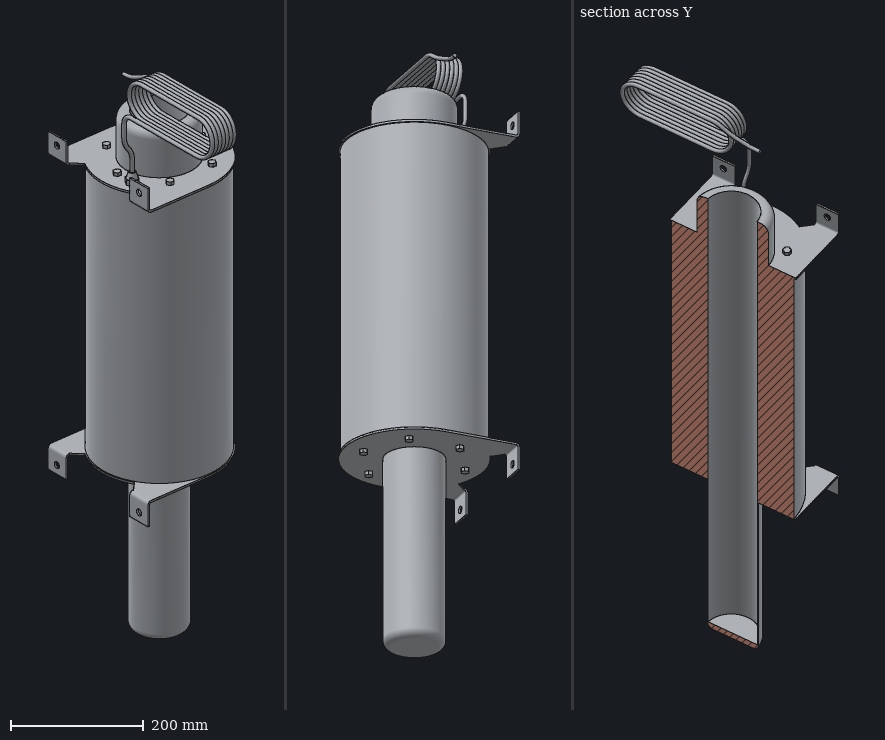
import cadquery as cq
import math

shell_diameter = 224.0
shell_bottom = 313.0
shell_top = 814.0
neck_diameter = 131.0
neck_top = 898.0
neck_fillet = 15.0
tube_diameter = 95.0
tube_fillet = 12.0
bore_diameter = 89.0
bore_bottom = tube_fillet

plate_thickness = 3.5
plate_radius = 114.0
tab_front = -123.0
tab_width = 42.0
tab_height = 44.0
bend_radius = 7.0
tab_hole_diameter = 11.0
tab_hole_inset = 20.0
tab_hole_height = 27.0

bolt_count = 6
bolt_circle_radius = 84.0
bolt_corner_diameter = 13.0
bolt_head_height = 6.0

gland_x = 34.0
gland_y = -84.0
gland_diameter = 19.0
gland_nut_corner_diameter = gland_diameter / math.cos(math.radians(30))
gland_tip_diameter = 11.0
gland_nut_height = 9.0
gland_height = 20.0

cable_diameter = 7.0
coil_top = 1013
coil_right = 238.0
coil_left_center = 72.0
coil_radius = 32.0
coil_start_y = -100.0
coil_pitch = 7.3
coil_half_turns = 13
coil_right_center = coil_right - cable_diameter / 2 - coil_radius
coil_center_z = coil_top - cable_diameter / 2 - coil_radius
coil_bottom = coil_center_z - coil_radius

stub_length = 20.0
s_bend_height = 45.0
lead_bend_radius = 17.0
tail_offsets = [(-25.0, -2.0, -10.0), (-53.0, -6.0, -23.0), (-83.0, -9.0, -29.0)]

HEXAGON_SIDES = 6
UP = cq.Vector(0, 0, 1)
LEFT = cq.Vector(-1, 0, 0)

plate_top = shell_top + plate_thickness


def cylinder(diameter, bottom, top):
    return cq.Workplane("XY").workplane(offset=bottom).circle(diameter / 2).extrude(top - bottom)


def flat_plate(leg_end):
    """Disc with two legs running forward, their inner corners cut at 45 degrees."""
    tab_inner = plate_radius - tab_width
    legs = (
        cq.Workplane("XY")
        .polyline([
            (-plate_radius, 0),
            (-plate_radius, leg_end),
            (-tab_inner, leg_end),
            (0, leg_end + tab_inner),
            (tab_inner, leg_end),
            (plate_radius, leg_end),
            (plate_radius, 0),
        ])
        .close()
        .extrude(plate_thickness)
    )
    return cylinder(2 * plate_radius, 0, plate_thickness).union(legs)


def bent_tab(start_x, hole_x, leg_end):
    """Upright tab joined to its leg by a bend, with one mounting hole."""
    inner_radius = bend_radius - plate_thickness
    outer_middle = bend_radius * (1 - math.sqrt(0.5))
    inner_offset = bend_radius - inner_radius * math.sqrt(0.5)
    tab = (
        cq.Workplane("YZ", origin=(start_x, 0, 0))
        .moveTo(leg_end, 0)
        .threePointArc((tab_front + outer_middle, outer_middle), (tab_front, bend_radius))
        .lineTo(tab_front, tab_height)
        .lineTo(tab_front + plate_thickness, tab_height)
        .lineTo(tab_front + plate_thickness, bend_radius)
        .threePointArc((tab_front + inner_offset, inner_offset), (leg_end, plate_thickness))
        .close()
        .extrude(tab_width)
    )
    hole = (
        cq.Workplane("XZ", origin=(hole_x, tab_front, tab_hole_height))
        .circle(tab_hole_diameter / 2)
        .extrude(plate_thickness * 2, both=True)
    )
    return tab.cut(hole)


def mounting_plate():
    """Plate on Z = 0 with its tabs pointing up and bolt heads on its upper face."""
    leg_end = tab_front + bend_radius
    hole_x = plate_radius - tab_hole_inset
    plate = flat_plate(leg_end)
    plate = plate.union(bent_tab(-plate_radius, -hole_x, leg_end))
    plate = plate.union(bent_tab(plate_radius - tab_width, hole_x, leg_end))
    bolts = (
        cq.Workplane("XY")
        .polarArray(bolt_circle_radius, 90, 360, bolt_count)
        .polygon(HEXAGON_SIDES, bolt_corner_diameter)
        .extrude(plate_thickness + bolt_head_height)
    )
    return plate.union(bolts)


def build_furnace():
    shell = cylinder(shell_diameter, shell_bottom, shell_top)
    neck = cylinder(neck_diameter, shell_top, neck_top).faces(">Z").edges().fillet(neck_fillet)
    tube = cylinder(tube_diameter, 0, shell_bottom).faces("<Z").edges().fillet(tube_fillet)
    bore = cylinder(bore_diameter, bore_bottom, neck_top)
    plate = mounting_plate()
    upper_plate = plate.translate((0, 0, shell_top))
    lower_plate = plate.mirror("XY").translate((0, 0, shell_bottom))
    return shell.union(neck).union(tube).union(upper_plate).union(lower_plate).cut(bore)


def build_gland():
    """Hexagonal nut with corners along Y, topped by a cone."""
    nut_top = plate_top + gland_nut_height
    nut = (
        cq.Workplane("XY")
        .workplane(offset=plate_top)
        .transformed(rotate=(0, 0, 90))
        .polygon(HEXAGON_SIDES, gland_nut_corner_diameter)
        .extrude(gland_nut_height)
    )
    tip = (
        cq.Workplane("XY")
        .workplane(offset=nut_top)
        .circle(gland_diameter / 2)
        .workplane(offset=gland_height - gland_nut_height)
        .circle(gland_tip_diameter / 2)
        .loft()
    )
    return nut.union(tip).translate((gland_x, gland_y, 0))


def lead_in_edges():
    """Straight stub, S-bend, straight riser and quarter bend from the gland tip to the coil."""
    stub_bottom = cq.Vector(gland_x, gland_y, plate_top + gland_height)
    stub_top = stub_bottom + UP * stub_length
    riser_bottom = cq.Vector(gland_x, coil_start_y, stub_top.z + s_bend_height)
    riser_top = cq.Vector(gland_x, coil_start_y, coil_bottom - lead_bend_radius)
    lead_end = riser_top + cq.Vector(lead_bend_radius, 0, lead_bend_radius)
    s_bend_middle = (stub_top + riser_bottom) * 0.5
    lower_bend = cq.Edge.makeTangentArc(stub_top, UP, s_bend_middle)
    return [
        cq.Edge.makeLine(stub_bottom, stub_top),
        lower_bend,
        cq.Edge.makeTangentArc(s_bend_middle, lower_bend.tangentAt(1), riser_bottom),
        cq.Edge.makeLine(riser_bottom, riser_top),
        cq.Edge.makeTangentArc(riser_top, UP, lead_end),
    ]


def coil_edges(start):
    """Straight runs along X and half circles at both ends, each moving half a pitch along Y."""
    edges = []
    for half_turn in range(coil_half_turns):
        side = 1 if half_turn % 2 == 0 else -1
        center_x = coil_right_center if side == 1 else coil_left_center
        y = coil_start_y + half_turn * coil_pitch / 2
        arc_start = cq.Vector(center_x, y, coil_center_z - side * coil_radius)
        arc_middle = cq.Vector(center_x + side * coil_radius, y + coil_pitch / 4, coil_center_z)
        arc_end = cq.Vector(center_x, y + coil_pitch / 2, coil_center_z + side * coil_radius)
        edges.append(cq.Edge.makeLine(start, arc_start))
        edges.append(cq.Edge.makeThreePointArc(arc_start, arc_middle, arc_end))
        start = arc_end
    edges.append(cq.Edge.makeLine(start, cq.Vector(coil_left_center, start.y, start.z)))
    return edges


def tail_edge(start):
    """Loose end leaving the top of the coil to the left, sloping down and forward."""
    points = [start] + [start + cq.Vector(*offset) for offset in tail_offsets]
    return cq.Edge.makeSpline(points, tangents=[LEFT, LEFT])


def build_cable():
    """Gland with the cable rising from it, winding into the coil and ending in the tail."""
    edges = lead_in_edges()
    edges += coil_edges(edges[-1].endPoint())
    edges.append(tail_edge(edges[-1].endPoint()))
    path = cq.Wire.assembleEdges(edges)
    profile = cq.Workplane("XY", origin=path.startPoint().toTuple()).circle(cable_diameter / 2)
    return build_gland().union(profile.sweep(path, transition="transformed"))


furnace = build_furnace()
cable = build_cable()

result = cq.Compound.makeCompound([furnace.solids().val(), cable.solids().val()])